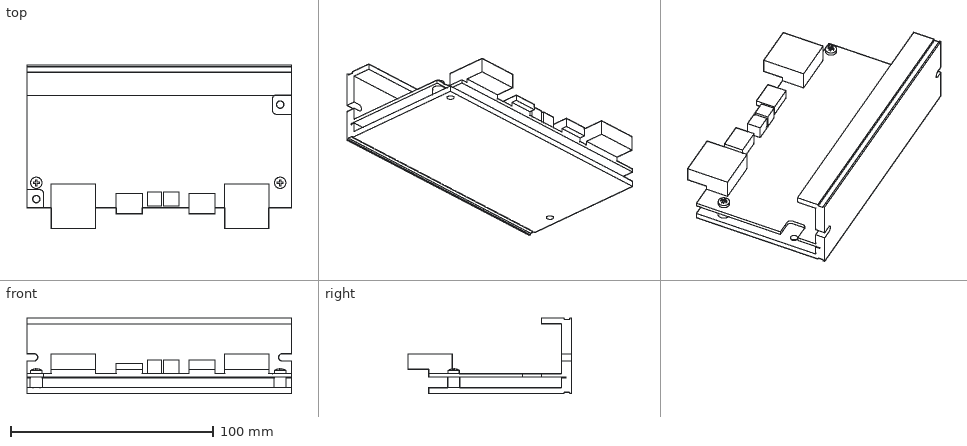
import cadquery as cq


length = 131.0
depth = 70.7
overall_depth = 81.0
height = 37.5
plate_thickness = 3.0
wall_thickness = 5.0
flange_depth = 15.0

groove_depth = 0.7
groove_mouth_width = 3.0
groove_floor_width = 2.4
groove_center_y = depth - 2.3

slot_width = 3.5
slot_z = 18.0
left_slot_depth = 5.3
right_slot_depth = 6.4

standoff_height = 5.2
board_thickness = 1.8
board_bottom = plate_thickness + standoff_height
board_top = board_bottom + board_thickness
board_slot_depth = 2.2
board_slot_clearance = 0.4
board_back = depth - wall_thickness + board_slot_depth

hole_diameter = 3.5
hole_left_x = 4.65
hole_right_x = length - 5.65
front_hole_y = 4.3
back_hole_y = depth - 19.6

cutout_radius = 2.0
front_cutout_width = 8.3
front_cutout_depth = 9.0
back_cutout_width = 9.5
back_cutout_depth = 9.6

standoff_diameter = 6.0
screw_y = depth - 58.3
head_diameter = 5.6
head_rim_height = 1.5
head_height = 2.4
cross_length = 3.0
cross_width = 0.9
cross_depth = 1.0

connector_step = 2.0
overhang_bottom = board_top + connector_step
large_width = 22.0
large_length = 22.0
large_overhang = overall_depth - depth
large_top = 19.7
large_left_edges = (12.0, 97.8)
small_width = 13.0
small_length = 10.0
small_overhang = 3.0
low_connector_x = 44.2
low_connector_top = 15.0
tall_connector_x = 80.2
tall_top = 16.7
button_length = 7.0
button_front_y = 0.9
left_button_x = 59.6
left_button_width = 7.0
right_button_x = 67.7
right_button_width = 7.5


def block(x, y, z, size_x, size_y, size_z):
    """Box given by its lowest corner and its size."""
    return cq.Workplane("XY").box(size_x, size_y, size_z, centered=False).translate((x, y, z))


def along_length(points):
    """Extrude a closed (y, z) outline over the whole length."""
    return cq.Workplane("YZ").polyline(points).close().extrude(length)


def locating_groove(face_z, floor_z):
    """Tapered groove, widest at the outer face."""
    half_mouth = groove_mouth_width / 2
    half_floor = groove_floor_width / 2
    return along_length([
        (groove_center_y - half_mouth, face_z),
        (groove_center_y + half_mouth, face_z),
        (groove_center_y + half_floor, floor_z),
        (groove_center_y - half_floor, floor_z),
    ])


def wall_slot(end_x, slot_depth, direction):
    """Slot open at end_x and running inward along the given X direction."""
    radius = slot_width / 2
    straight = slot_depth - radius
    wall_front = depth - wall_thickness
    start_x = min(end_x, end_x + direction * straight)
    channel = block(start_x, wall_front, slot_z - radius, straight, wall_thickness, slot_width)
    round_end = (
        cq.Workplane("XZ", origin=(end_x + direction * straight, depth, slot_z))
        .circle(radius)
        .extrude(wall_thickness)
    )
    return channel.union(round_end)


def make_bracket():
    """Base, wall and top flange with their grooves, slots and holes."""
    wall_front = depth - wall_thickness
    flange_front = depth - flange_depth
    flange_bottom = height - plate_thickness
    bracket = along_length([
        (0, 0),
        (depth, 0),
        (depth, height),
        (flange_front, height),
        (flange_front, flange_bottom),
        (wall_front, flange_bottom),
        (wall_front, plate_thickness),
        (0, plate_thickness),
    ])
    bracket = bracket.cut(locating_groove(0, groove_depth))
    bracket = bracket.cut(locating_groove(height, height - groove_depth))
    bracket = bracket.cut(wall_slot(0, left_slot_depth, 1))
    bracket = bracket.cut(wall_slot(length, right_slot_depth, -1))
    slot_height = board_thickness + board_slot_clearance
    board_slot = block(
        0, wall_front, board_bottom - board_slot_clearance, length, board_slot_depth, slot_height
    )
    holes = (
        cq.Workplane("XY")
        .pushPoints([(hole_left_x, front_hole_y), (hole_right_x, back_hole_y)])
        .circle(hole_diameter / 2)
        .extrude(plate_thickness)
    )
    return bracket.cut(board_slot).cut(holes)


def make_board():
    """Circuit board with rounded cutouts around the two base holes."""
    board = block(0, 0, board_bottom, length, board_back, board_thickness)
    front_cutout = block(
        0, 0, board_bottom, front_cutout_width, front_cutout_depth, board_thickness
    ).edges("|Z and >X and >Y").fillet(cutout_radius)
    back_cutout = block(
        length - back_cutout_width,
        back_hole_y - back_cutout_depth / 2,
        board_bottom,
        back_cutout_width,
        back_cutout_depth,
        board_thickness,
    ).edges("|Z and <X").fillet(cutout_radius)
    return board.cut(front_cutout).cut(back_cutout)


def make_standoff_and_screw(x):
    """Standoff below the board and domed cross-recess screw head above it."""
    standoff = (
        cq.Workplane("XY", origin=(x, screw_y, plate_thickness))
        .circle(standoff_diameter / 2)
        .extrude(standoff_height)
    )
    head_radius = head_diameter / 2
    dome_rise = head_height - head_rim_height
    dome_radius = (head_radius**2 + dome_rise**2) / (2 * dome_rise)
    head_top = board_top + head_height
    dome = cq.Workplane("XY", origin=(x, screw_y, head_top - dome_radius)).sphere(dome_radius)
    head = (
        cq.Workplane("XY", origin=(x, screw_y, board_top))
        .circle(head_radius)
        .extrude(head_height)
        .intersect(dome)
    )
    arm = (
        cq.Workplane("XY", origin=(x, screw_y, head_top - cross_depth))
        .rect(cross_length, cross_width)
        .extrude(cross_depth)
    )
    cross = arm.union(arm.rotate((x, screw_y, 0), (x, screw_y, 1), 90))
    return standoff, head.cut(cross)


def make_connector(x, width, connector_length, overhang, top):
    """Connector whose front part overhangs the board edge with a raised underside."""
    body = block(x, -overhang, board_top, width, connector_length, top - board_top)
    relief = block(x, -overhang, board_top, width, overhang, overhang_bottom - board_top)
    return body.cut(relief)


result = make_bracket().union(make_board())

for screw_x in (hole_left_x, hole_right_x):
    for piece in make_standoff_and_screw(screw_x):
        result = result.union(piece)

for left_edge in large_left_edges:
    result = result.union(
        make_connector(left_edge, large_width, large_length, large_overhang, large_top)
    )

for left_edge, top in ((low_connector_x, low_connector_top), (tall_connector_x, tall_top)):
    result = result.union(make_connector(left_edge, small_width, small_length, small_overhang, top))

for left_edge, width in ((left_button_x, left_button_width), (right_button_x, right_button_width)):
    result = result.union(
        block(left_edge, button_front_y, board_top, width, button_length, tall_top - board_top)
    )